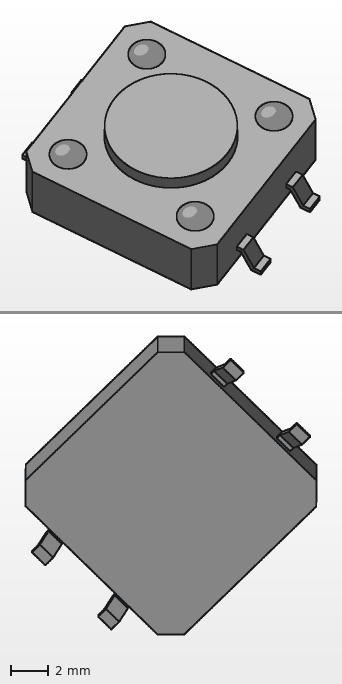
import cadquery as cq
import math

overall_length = 15.0
overall_height = 4.6

housing_side = 12.0
housing_height = 3.5
corner_chamfer = 1.0

dome_pitch = 8.0
dome_diameter = 2.0
dome_height = 0.5

button_diameter = 7.1
recess_diameter = 7.15
recess_depth = 1.5

lead_thickness = 0.3
lead_width = 1.0
lead_pitch = 5.0
lead_top = 1.44
foot_length = 0.6
lead_slope = math.radians(60)

housing_bottom = lead_thickness
housing_top = housing_bottom + housing_height
recess_floor = housing_top - recess_depth
wall_x = housing_side / 2
tip_x = overall_length / 2
shoulder_underside = lead_top - lead_thickness
bend_offset = lead_thickness * math.tan(lead_slope / 2)


def make_block():
    """Housing block with chamfered corners and the button recess."""
    block = (
        cq.Workplane("XY")
        .workplane(offset=housing_bottom)
        .rect(housing_side, housing_side)
        .extrude(housing_height)
        .edges("|Z")
        .chamfer(corner_chamfer)
    )
    recess = (
        cq.Workplane("XY")
        .workplane(offset=recess_floor)
        .circle(recess_diameter / 2)
        .extrude(recess_depth)
    )
    return block.cut(recess)


def make_dome(x, y):
    """Spherical cap standing on the top face of the housing."""
    base_radius = dome_diameter / 2
    sphere_radius = (base_radius**2 + dome_height**2) / (2 * dome_height)
    sphere_center_z = housing_top + dome_height - sphere_radius
    sphere = cq.Workplane("XY").sphere(sphere_radius).translate((x, y, sphere_center_z))
    keep = (
        cq.Workplane("XY")
        .workplane(offset=housing_top)
        .center(x, y)
        .rect(2 * sphere_radius, 2 * sphere_radius)
        .extrude(sphere_radius)
    )
    return sphere.intersect(keep)


def make_lead(side, y):
    """Bent lead on the +X (side = 1) or -X (side = -1) wall, centred at y."""
    lower_bend_x = tip_x - foot_length
    upper_bend_x = lower_bend_x - shoulder_underside / math.tan(lead_slope)
    profile = [
        (wall_x, lead_top),
        (upper_bend_x + bend_offset, lead_top),
        (lower_bend_x + bend_offset, lead_thickness),
        (tip_x, lead_thickness),
        (tip_x, 0),
        (lower_bend_x, 0),
        (upper_bend_x, shoulder_underside),
        (wall_x, shoulder_underside),
    ]
    return (
        cq.Workplane("XZ")
        .polyline([(side * x, z) for x, z in profile])
        .close()
        .extrude(lead_width / 2, both=True)
        .translate((0, y, 0))
    )


def make_housing():
    """Housing block with its domes and leads as one solid."""
    body = make_block()
    for side_x in (-1, 1):
        for side_y in (-1, 1):
            body = body.union(make_dome(side_x * dome_pitch / 2, side_y * dome_pitch / 2))
            body = body.union(make_lead(side_x, side_y * lead_pitch / 2))
    return body


def make_button():
    """Cylindrical button resting on the recess floor."""
    return (
        cq.Workplane("XY")
        .workplane(offset=recess_floor)
        .circle(button_diameter / 2)
        .extrude(overall_height - recess_floor)
    )


housing = make_housing()
button = make_button()

result = cq.Compound.makeCompound([*housing.solids().vals(), button.val()])